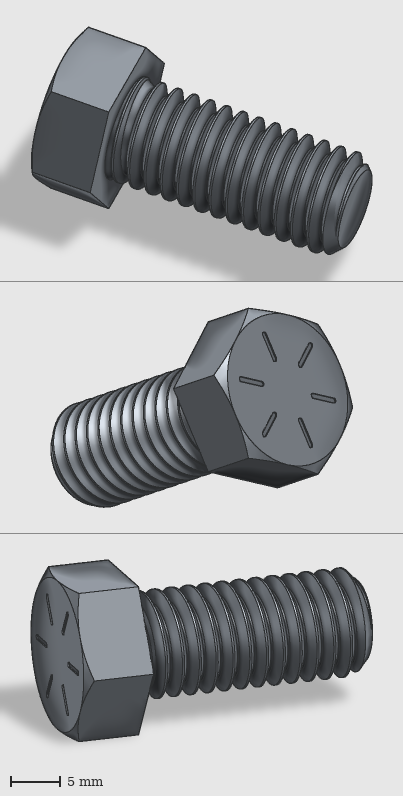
import cadquery as cq
import math

total_length = 32.55
across_flats = 15.88
head_height = 7.13
head_chamfer_angle = 30.0

crest_radius = 5.55
root_radius = 4.4
thread_turns = 14
pitch = (total_length - head_height) / thread_turns
crest_width = pitch / 8
flank_angle = 30.0
groove_start = 3.9
runout_angle = 30.0
tip_radius = 4.2
groove_overshoot = 0.1
rod_extra_turns = 5
radial_clearance = 0.33
head_overlap = 0.65

mark_count = 6
mark_length = 3.22
mark_width = 0.52
mark_centre_radius = 4.75
mark_depth = 0.15

across_corners = across_flats / math.cos(math.radians(30))


def revolve_about_x(points):
    """Solid of revolution about X from (x, radius) points."""
    return cq.Workplane("XY").polyline(points).close().revolve(360, (0, 0), (1, 0))


def make_head():
    """Hexagonal head with its outer corners cut back by a cone."""
    hexagon = cq.Workplane("YZ").polygon(6, across_corners).extrude(head_height)
    face_radius = across_flats / 2
    slope = math.tan(math.radians(head_chamfer_angle))
    envelope = revolve_about_x([
        (0, 0),
        (0, face_radius),
        (head_height, face_radius + head_height / slope),
        (head_height, 0),
    ])
    return hexagon.intersect(envelope)


def helical_bar(section, turns):
    """Solid swept along X on a helix from (radius, x) section corners, starting on the -Z side."""
    helices = [
        cq.Wire.makeHelix(pitch, pitch * turns, radius).translate(cq.Vector(0, 0, along))
        for radius, along in section
    ]
    next_helices = helices[1:] + helices[:1]
    faces = [cq.Face.makeRuledSurface(one, other) for one, other in zip(helices, next_helices)]
    for end in (0, pitch * turns):
        corners = [cq.Vector(radius, 0, along + end) for radius, along in section]
        faces.append(cq.Face.makeFromWires(cq.Wire.makePolygon(corners, close=True)))
    bar = cq.Solid.makeSolid(cq.Shell.makeShell(faces))
    return cq.Workplane(obj=bar).rotate((0, 0, 0), (0, 1, 0), 90)


def make_groove():
    """Right-hand thread groove, running from inside the head to beyond the tip."""
    flank_slope = math.tan(math.radians(flank_angle))
    outer_radius = crest_radius + groove_overshoot
    half_root = (pitch - crest_width) / 2 - (crest_radius - root_radius) * flank_slope
    half_outer = half_root + (outer_radius - root_radius) * flank_slope
    section = [
        (root_radius, -half_root),
        (outer_radius, -half_outer),
        (outer_radius, half_outer),
        (root_radius, half_root),
    ]
    turns = math.ceil((total_length - groove_start) / pitch) + 1
    return helical_bar(section, turns).translate((groove_start, 0, 0))


def make_shank():
    """Threaded shank with a 45 degree tip and a conical thread runout at the head."""
    rod_length = total_length + rod_extra_turns * pitch
    rod = cq.Workplane("YZ").circle(crest_radius).extrude(rod_length)
    envelope_radius = crest_radius + radial_clearance
    shank_start = head_height - head_overlap
    envelope = revolve_about_x([
        (shank_start, 0),
        (shank_start, envelope_radius),
        (total_length - (envelope_radius - tip_radius), envelope_radius),
        (total_length, tip_radius),
        (total_length, 0),
    ])
    runout_end_radius = root_radius - radial_clearance
    runout_length = (crest_radius - runout_end_radius) / math.tan(math.radians(runout_angle))
    runout = revolve_about_x([
        (shank_start, 0),
        (shank_start, crest_radius),
        (head_height, crest_radius),
        (head_height + runout_length, runout_end_radius),
        (head_height + runout_length, 0),
    ])
    return rod.cut(make_groove()).intersect(envelope).union(runout)


def make_marks():
    """Radial round-ended slots sunk into the head face."""
    return (
        cq.Workplane("YZ")
        .polarArray(mark_centre_radius, 0, 360, mark_count)
        .slot2D(mark_length, mark_width)
        .extrude(mark_depth)
    )


result = make_head().union(make_shank()).cut(make_marks())